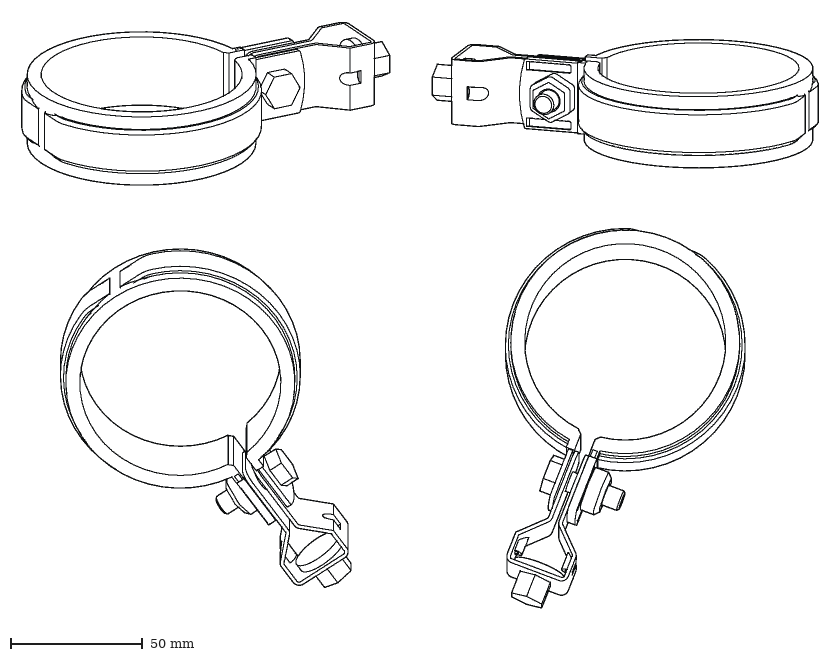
import cadquery as cq
import math


liner_outer_radius = 43.5
liner_inner_radius = 38.2
liner_height = 28.0
slit_half_width = 2.89
slit_edge_chamfer = 1.5
lip_outer_x = 6.2
lip_top_y = 46.3

strap_outer_radius = 45.6
strap_width = 17.8
strap_thickness = strap_outer_radius - liner_outer_radius
strap_flat_distance = liner_outer_radius
strap_bend_radius = 14.0
strap_end_gap = 4.7
strap_chamfer_radial = 1.2
strap_chamfer_axial = 1.5

left_ear_width = 27.4
right_ear_width = 25.5
ear_thickness = 1.8
ear_tip_rise = 2.0
ear_corner_radius = 0.9
left_ear_tip_y = 69.6
right_ear_tip_y = 68.0
ear_inner_x = 3.5
ear_outer_x = ear_inner_x + ear_thickness

pocket_start_y = 49.0
pocket_end_y = 66.8
pocket_inner_z = 9.5
pocket_outer_z = 12.7
pocket_depth = 0.9
pocket_corner_radius = 0.6

bracket_height = 25.5
bracket_half_width = 12.5
bracket_top_y = 95.5
bracket_knee_y = 83.8
bracket_leg_end_y = 45.3
sheet_thickness = 1.5
top_bend_outer_radius = 2.8
top_bend_inner_radius = 0.9
knee_bend_radius = 2.2
neck_bend_radius = 1.3
leg_corner_radius = 4.7
neck_y = bracket_knee_y - (bracket_half_width - slit_half_width)

dent_radius = 2.5
dent_depth = 3.0
dent_top_y = 88.5
dent_bottom_y = bracket_knee_y - dent_depth

bolt_y = 55.5
bolt_diameter = 8.0
bolt_tip_x = -20.0
bolt_tip_diameter = 6.7
bolt_head_corners = 15.0
bolt_head_end_x = 10.7
nut_flats = 16.0
nut_end_x = -13.3
nut_corner_radius = 1.9
nut_chamfer = 1.8
nut_mouth_diameter = 9.0

connector_end_y = 104.5
connector_corners = 14.2
flange_diameter = 20.0
flange_thickness = 3.1


def cylinder_along_x(diameter, x_start, x_end):
    """Round bar on the bolt axis."""
    return (
        cq.Workplane("YZ", origin=(x_start, bolt_y, 0))
        .circle(diameter / 2)
        .extrude(x_end - x_start)
    )


def strap_outline(inset):
    """Plate with the strap's outside shape, a circle with a blended flat, moved inwards by the inset."""
    radius = strap_outer_radius - inset
    flat_y = -(strap_flat_distance - inset)
    flat_half_length = math.sqrt(radius**2 - flat_y**2)
    return (
        cq.Workplane("XY", origin=(0, 0, -strap_width / 2))
        .moveTo(-flat_half_length, flat_y)
        .threePointArc((0, radius), (flat_half_length, flat_y))
        .close()
        .extrude(strap_width)
        .edges("|Z and <Y")
        .fillet(strap_bend_radius - inset)
    )


def strap_band():
    """Closed band of both straps, with its outer rims chamfered."""
    return (
        strap_outline(0)
        .faces("<Z or >Z")
        .edges()
        .chamfer(strap_chamfer_axial, strap_chamfer_radial)
        .cut(strap_outline(strap_thickness))
    )


def ear_plate(x_start, x_end, base_y, tip_y, width):
    """Upright plate with a bowed tip and rounded corners."""
    half_width = width / 2
    shoulder_y = tip_y - ear_tip_rise
    return (
        cq.Workplane("YZ", origin=(x_start, 0, 0))
        .moveTo(base_y, -half_width)
        .lineTo(shoulder_y, -half_width)
        .threePointArc((tip_y, 0), (shoulder_y, half_width))
        .lineTo(base_y, half_width)
        .close()
        .extrude(x_end - x_start)
        .edges("|X")
        .edges(">Y")
        .fillet(ear_corner_radius)
    )


def strap_half(side):
    """Half of the band on one side (+1 right, -1 left), ending in the liner lip."""
    x_near = side * strap_end_gap / 2
    x_far = side * 2 * strap_outer_radius
    side_region = (
        cq.Workplane("XY")
        .moveTo(x_near, -2 * strap_outer_radius)
        .lineTo(x_far, -2 * strap_outer_radius)
        .lineTo(x_far, 2 * strap_outer_radius)
        .lineTo(side * ear_inner_x, 2 * strap_outer_radius)
        .lineTo(side * ear_inner_x, 0)
        .lineTo(x_near, 0)
        .close()
        .extrude(strap_width / 2, both=True)
    )
    return strap_band().intersect(side_region)


def make_right_strap():
    """Right strap with a thin ear."""
    ear = ear_plate(ear_inner_x, ear_outer_x, liner_outer_radius, right_ear_tip_y, right_ear_width)
    return strap_half(1).union(ear).cut(bolt_hole)


def ear_pocket(side):
    """Long pocket in the left ear beside its upper (+1) or lower (-1) edge, with a sloped far end."""
    width = pocket_outer_z - pocket_inner_z
    middle_z = side * (pocket_inner_z + pocket_outer_z) / 2
    floor_x = -lip_outer_x + pocket_depth
    return (
        cq.Workplane("XY", origin=(0, 0, middle_z))
        .moveTo(-lip_outer_x, pocket_start_y)
        .lineTo(-lip_outer_x, pocket_end_y)
        .lineTo(floor_x, pocket_end_y - pocket_depth)
        .lineTo(floor_x, pocket_start_y)
        .close()
        .extrude(width / 2, both=True)
        .edges("|X")
        .fillet(pocket_corner_radius)
    )


def make_left_strap():
    """Left strap: its ear root passes through the lip, and above the lip the ear is as thick as the lip."""
    root = (
        cq.Workplane("XY")
        .box(ear_thickness, lip_top_y - liner_outer_radius, left_ear_width)
        .translate((-(ear_inner_x + ear_outer_x) / 2, (lip_top_y + liner_outer_radius) / 2, 0))
    )
    ear = ear_plate(-lip_outer_x, -slit_half_width, lip_top_y, left_ear_tip_y, left_ear_width)
    strap = strap_half(-1).union(root).union(ear)
    for side in (-1, 1):
        strap = strap.cut(ear_pocket(side))
    return strap.cut(bolt_hole)


def make_liner(straps):
    """Split ring with a raised lip on each side of the slit, recessed where the straps sit."""
    lip_base_y = (liner_outer_radius + liner_inner_radius) / 2
    half_height = liner_height / 2
    lips = (
        cq.Workplane("XY")
        .rect(2 * lip_outer_x, 2 * lip_top_y)
        .extrude(half_height, both=True)
    )
    bore = cq.Workplane("XY").circle(liner_inner_radius).extrude(half_height, both=True)
    lower_half = (
        cq.Workplane("XY")
        .rect(2 * lip_outer_x, 2 * lip_base_y)
        .extrude(half_height, both=True)
        .translate((0, -lip_base_y, 0))
    )
    lips = lips.cut(lower_half)
    slit_edge_y = math.sqrt(liner_inner_radius**2 - slit_half_width**2)
    mouth_half_width = slit_half_width + slit_edge_chamfer
    slit = (
        cq.Workplane("XY")
        .moveTo(-mouth_half_width, 0)
        .lineTo(-mouth_half_width, slit_edge_y)
        .lineTo(-slit_half_width, slit_edge_y + slit_edge_chamfer)
        .lineTo(-slit_half_width, lip_top_y)
        .lineTo(slit_half_width, lip_top_y)
        .lineTo(slit_half_width, slit_edge_y + slit_edge_chamfer)
        .lineTo(mouth_half_width, slit_edge_y)
        .lineTo(mouth_half_width, 0)
        .close()
        .extrude(half_height, both=True)
    )
    liner = (
        cq.Workplane("XY")
        .circle(liner_outer_radius)
        .extrude(half_height, both=True)
        .union(lips)
        .cut(bore)
        .cut(slit)
    )
    for strap in straps:
        liner = liner.cut(strap)
    return liner


def bend_edges(bend_y):
    """Selector of the upright edges at a bend: those centred on Z = 0 and near the given Y."""
    return cq.selectors.BoxSelector(
        (-bracket_half_width, bend_y - sheet_thickness, -sheet_thickness),
        (bracket_half_width, bend_y + sheet_thickness, sheet_thickness),
    )


def bracket_block(inset, top_bend_radius):
    """Solid block inside the bracket outline, with its sides, top and bends moved inwards by the inset."""
    half_width = bracket_half_width - inset
    half_neck = slit_half_width - inset
    bend_shift = inset * math.tan(math.radians(22.5))
    return (
        cq.Workplane("XY")
        .polyline(
            [
                (-half_neck, bracket_leg_end_y),
                (-half_neck, neck_y + bend_shift),
                (-half_width, bracket_knee_y + bend_shift),
                (-half_width, bracket_top_y - inset),
                (half_width, bracket_top_y - inset),
                (half_width, bracket_knee_y + bend_shift),
                (half_neck, neck_y + bend_shift),
                (half_neck, bracket_leg_end_y),
            ]
        )
        .close()
        .extrude(bracket_height / 2, both=True)
        .edges("|Z and >Y")
        .fillet(top_bend_radius)
        .edges(bend_edges(bracket_knee_y))
        .fillet(knee_bend_radius - inset)
        .edges(bend_edges(neck_y))
        .fillet(neck_bend_radius + inset)
    )


def dent_bar(side, radius, depth):
    """Bar along Y with a round inner side, reaching a given depth into the bracket side."""
    face_x = side * bracket_half_width
    round_x = face_x - side * (depth - radius)
    length = dent_top_y - dent_bottom_y
    rounded = (
        cq.Workplane("XZ", origin=(round_x, dent_top_y, 0))
        .circle(radius)
        .extrude(length)
    )
    straight = (
        cq.Workplane("XZ", origin=((face_x + round_x) / 2, dent_top_y, 0))
        .rect(abs(face_x - round_x), 2 * radius)
        .extrude(length)
    )
    return rounded.union(straight)


def make_bracket():
    """Bent sheet bracket: top, two sides, two slanted knees and two legs."""
    block = bracket_block(0, top_bend_outer_radius)
    bracket = block.cut(bracket_block(sheet_thickness, top_bend_inner_radius))
    for side in (-1, 1):
        shell = dent_bar(side, dent_radius + sheet_thickness, dent_depth + sheet_thickness)
        bracket = bracket.union(shell.intersect(block))
    for side in (-1, 1):
        bracket = bracket.cut(dent_bar(side, dent_radius, dent_depth))
    bracket = bracket.edges("|X and <Y").fillet(leg_corner_radius)
    return bracket.cut(bolt_hole).cut(connector_hexagon())


def connector_hexagon():
    """Hexagonal bar with corners up and down, from the inner side of the bracket top outwards."""
    base_y = bracket_top_y - sheet_thickness
    return (
        cq.Workplane("XZ", origin=(0, connector_end_y, 0))
        .polygon(6, connector_corners)
        .extrude(connector_end_y - base_y)
        .rotate((0, 0, 0), (0, 1, 0), 30)
    )


def make_connector():
    """Hexagonal bar with a round flange inside the bracket."""
    flange = (
        cq.Workplane("XZ", origin=(0, bracket_top_y - sheet_thickness, 0))
        .circle(flange_diameter / 2)
        .extrude(flange_thickness)
    )
    return connector_hexagon().union(flange)


def make_bolt():
    """Bolt with a hexagonal head on the right ear and a chamfered tip."""
    shank = (
        cylinder_along_x(bolt_diameter, bolt_tip_x, ear_outer_x)
        .faces("<X")
        .chamfer((bolt_diameter - bolt_tip_diameter) / 2)
    )
    head = (
        cq.Workplane("YZ", origin=(ear_outer_x, bolt_y, 0))
        .polygon(6, bolt_head_corners)
        .extrude(bolt_head_end_x - ear_outer_x)
    )
    return shank.union(head)


def make_nut():
    """Hexagonal nut on the left ear, with corners up and down, rounded and chamfered."""
    nut = (
        cq.Workplane("YZ", origin=(nut_end_x, 0, 0))
        .polygon(6, nut_flats / math.cos(math.pi / 6))
        .extrude(-lip_outer_x - nut_end_x)
        .rotate((0, 0, 0), (1, 0, 0), 30)
        .edges("|X")
        .fillet(nut_corner_radius)
        .faces("<X")
        .chamfer(nut_chamfer)
        .translate((0, bolt_y, 0))
        .cut(bolt_hole)
    )
    mouth_edge = nut.faces("<X").edges("%CIRCLE").edges(cq.selectors.RadiusNthSelector(-1))
    return mouth_edge.chamfer((nut_mouth_diameter - bolt_diameter) / 2)


bolt_hole = cylinder_along_x(bolt_diameter, bolt_tip_x, bolt_head_end_x)

right_strap = make_right_strap()
left_strap = make_left_strap()
liner = make_liner([left_strap, right_strap])
bracket = make_bracket()
connector = make_connector()
bolt = make_bolt()
nut = make_nut()

result = cq.Compound.makeCompound(
    [
        liner.val(),
        left_strap.val(),
        right_strap.val(),
        bracket.val(),
        connector.val(),
        bolt.val(),
        nut.val(),
    ]
)